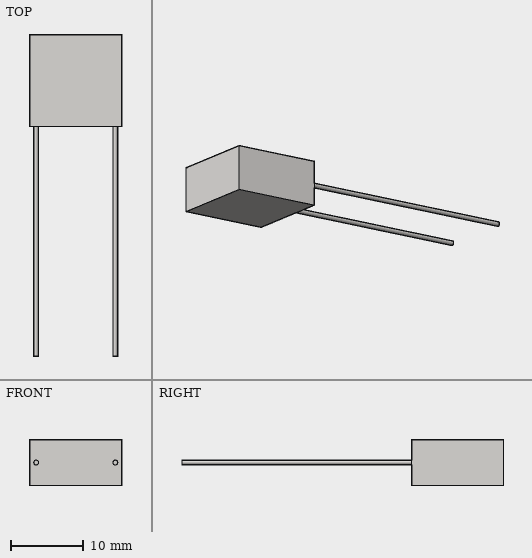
import cadquery as cq

case_width = 12.7
case_length = case_width
case_thickness = case_width / 2

overall_length = 44.45
lead_length = overall_length - case_length
lead_diameter = 0.65
lead_spacing = 10.95

lead_tip_y = -overall_length / 2
case_front_y = lead_tip_y + lead_length
case_center_y = case_front_y + case_length / 2


def make_case():
    """Plain rectangular block."""
    return (
        cq.Workplane("XY")
        .box(case_width, case_length, case_thickness)
        .translate((0, case_center_y, 0))
    )


def make_lead(x):
    """Straight round wire running from the case face in the -Y direction."""
    return (
        cq.Workplane("XZ", origin=(x, case_front_y, 0))
        .circle(lead_diameter / 2)
        .extrude(lead_length)
    )


case = make_case()
leads = [make_lead(side * lead_spacing / 2) for side in (-1, 1)]

result = cq.Compound.makeCompound([case.val(), *[lead.val() for lead in leads]])